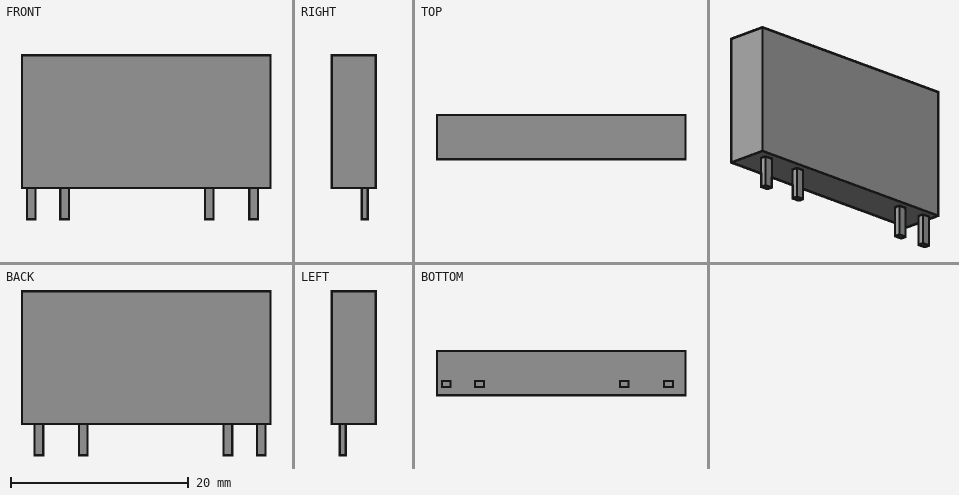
import cadquery as cq

body_length = 28.0
body_width = 5.0
body_height = 15.0

pin_length = 3.5
pin_size_x = 1.0
pin_size_y = 0.7
pin_row_inset = 1.27
first_pin_x = 1.05
pin_pitches = (3.75, 16.3, 5.0)

pin_row_y = body_width - pin_row_inset


def make_body():
    return cq.Workplane("XY").box(body_length, body_width, body_height, centered=False)


def make_pin(center_x):
    """One pin hanging from the underside of the body."""
    return (
        cq.Workplane("XY")
        .center(center_x, pin_row_y)
        .rect(pin_size_x, pin_size_y)
        .extrude(-pin_length)
    )


result = make_body()
pin_x = first_pin_x
result = result.union(make_pin(pin_x))
for pitch in pin_pitches:
    pin_x += pitch
    result = result.union(make_pin(pin_x))